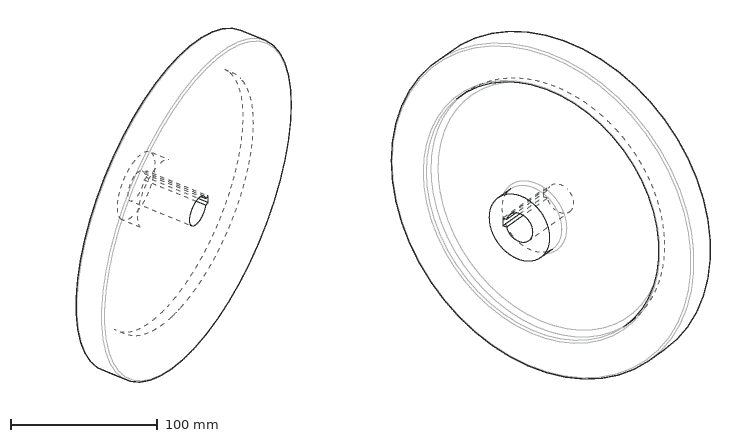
import cadquery as cq
import math

wheel_diameter = 250.0
wheel_length = 49.0
rim_width = 22.5
rim_edge_radius = 1.5

hub_diameter = 50.0
bore_diameter = 22.0
keyway_width = 6.0
keyway_reach = 13.8

recess_diameter = 192.5
hub_root_length = 16.8
cone_angle = 16.3
root_radius = 3.0

edge_tolerance = 0.002

wheel_radius = wheel_diameter / 2
hub_radius = hub_diameter / 2
recess_radius = recess_diameter / 2
rim_front = wheel_length - rim_width
cone_depth = (recess_radius - hub_radius) * math.tan(math.radians(cone_angle))
recess_floor = hub_root_length + cone_depth


def make_wheel():
    """Revolve the sharp-cornered half section about the X axis."""
    return (
        cq.Workplane("XY")
        .moveTo(0, 0)
        .lineTo(0, hub_radius)
        .lineTo(hub_root_length, hub_radius)
        .lineTo(recess_floor, recess_radius)
        .lineTo(rim_front, recess_radius)
        .lineTo(rim_front, wheel_radius)
        .lineTo(wheel_length, wheel_radius)
        .lineTo(wheel_length, 0)
        .close()
        .revolve(360, (0, 0, 0), (1, 0, 0))
    )


def round_circle(body, x, circle_radius, fillet_radius):
    """Round the circular edge of the given radius at x."""

    def is_match(edge):
        return (
            edge.geomType() == "CIRCLE"
            and math.isclose(edge.Center().x, x, abs_tol=edge_tolerance)
            and math.isclose(edge.radius(), circle_radius, abs_tol=edge_tolerance)
        )

    return body.newObject(body.edges().filter(is_match).vals()).fillet(fillet_radius)


def cut_bore(body):
    """Cut the through bore and its keyway on the +Y side."""
    bore = cq.Workplane("YZ").circle(bore_diameter / 2).extrude(wheel_length)
    keyway = cq.Workplane("XY").box(
        wheel_length, keyway_reach, keyway_width, centered=(False, False, True)
    )
    return body.cut(bore.union(keyway))


rounded_edges = [
    (hub_root_length, hub_radius, root_radius),
    (recess_floor, recess_radius, root_radius),
    (rim_front, recess_radius, rim_edge_radius),
    (rim_front, wheel_radius, rim_edge_radius),
    (wheel_length, wheel_radius, rim_edge_radius),
]

wheel = make_wheel()
for edge_x, edge_circle_radius, edge_fillet in rounded_edges:
    wheel = round_circle(wheel, edge_x, edge_circle_radius, edge_fillet)

result = cut_bore(wheel)